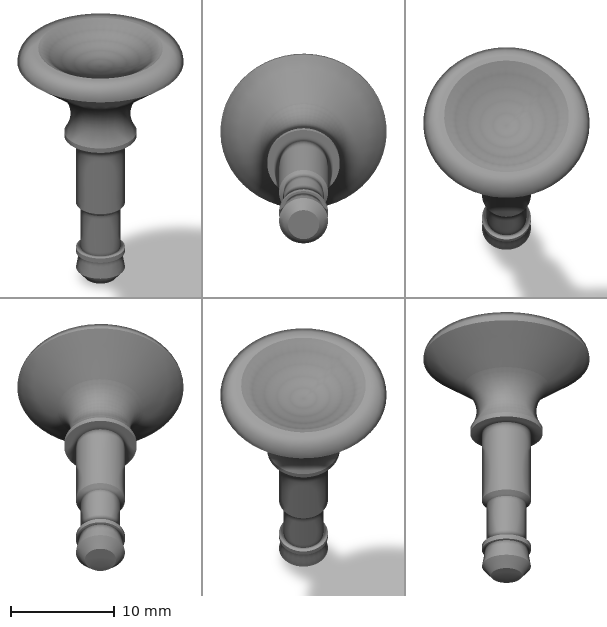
import cadquery as cq

total_height = 25.1
knob_radius = 8.0

rim_rounding = 1.5
dish_rim_radius = 6.0
dish_depth = 2.0
cone_height = 3.0
neck_top_radius = 4.12
rim_base_z = total_height - rim_rounding
neck_top_z = rim_base_z - cone_height

neck_point_radius = 2.94
neck_point_z = 18.5
flange_radius = 3.5
flange_thickness = 0.48
flange_base_z = 15.5
flange_top_z = flange_base_z + flange_thickness

shaft_radius = 2.35
groove_radius = 1.9
shaft_end_z = 8.13
shaft_chamfer = shaft_radius - groove_radius

collar_top_z = 3.25
collar_thickness = 0.48
collar_base_z = collar_top_z - collar_thickness
tip_cone_top_radius = 2.05
tip_cone_base_z = 1.0
tip_end_radius = 1.5


def make_body():
    """Revolve the half profile, drawn as (radius, height), about the Z axis."""
    profile = (
        cq.Workplane("XZ")
        .moveTo(0, 0)
        .lineTo(tip_end_radius, 0)
        .lineTo(shaft_radius, tip_cone_base_z)
        .lineTo(tip_cone_top_radius, collar_base_z)
        .lineTo(shaft_radius, collar_base_z)
        .lineTo(shaft_radius, collar_top_z)
        .lineTo(groove_radius, collar_top_z)
        .lineTo(groove_radius, shaft_end_z - shaft_chamfer)
        .lineTo(shaft_radius, shaft_end_z)
        .lineTo(shaft_radius, flange_base_z)
        .lineTo(flange_radius, flange_base_z)
        .lineTo(flange_radius, flange_top_z)
        .threePointArc((neck_point_radius, neck_point_z), (neck_top_radius, neck_top_z))
        .lineTo(knob_radius, rim_base_z)
        .radiusArc((knob_radius - rim_rounding, total_height), -rim_rounding)
        .lineTo(0, total_height)
        .close()
    )
    return profile.revolve(360, (0, 0, 0), (0, 1, 0))


def make_dish():
    """Sphere whose cap cuts the dish to its depth and rim radius."""
    sphere_radius = (dish_rim_radius**2 + dish_depth**2) / (2 * dish_depth)
    center_z = total_height - dish_depth + sphere_radius
    return cq.Workplane("XY").sphere(sphere_radius).translate((0, 0, center_z))


result = make_body().cut(make_dish())